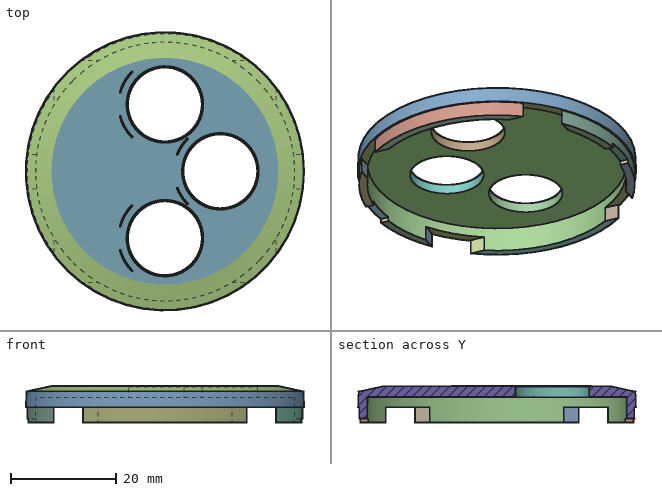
import cadquery as cq
import math

OUTER_RADIUS = 26.5
TOTAL_HEIGHT = 7.0
SKIRT_HEIGHT = 2.9

SKIRT_RADIUS = 26.25
RIM_TOP_RADIUS = 26.4
RIM_TOP_Z = 5.95
FACE_RADIUS = 21.55

FACE_THICKNESS = 2.1
SKIRT_WALL = 1.6
CAVITY_RADIUS = SKIRT_RADIUS - SKIRT_WALL
SKIRT_OPENING_WIDTH = 42.2

NOTCH_WIDTH = 6.55
NOTCH_HEIGHT = 0.8

HOLE_RADIUS = 7.0
HOLE_MOUTH_RADIUS = 7.3
HOLE_CHAMFER_DEPTH = 0.15
SIDE_HOLE_Y = 12.7
MIDDLE_HOLE_X = 10.55

MARK_RADIUS = 8.8
MARK_WIDTH = 0.2
MARK_DEPTH = 0.1
MARK_OUTER_ANGLE = 45.0
SIDE_MARK_INNER_ANGLE = 14.5
MIDDLE_MARK_INNER_ANGLE = 21.0

HOLES = [
    (0, SIDE_HOLE_Y, SIDE_MARK_INNER_ANGLE),
    (MIDDLE_HOLE_X, 0, MIDDLE_MARK_INNER_ANGLE),
    (0, -SIDE_HOLE_Y, SIDE_MARK_INNER_ANGLE),
]


def outer_body():
    """Solid of revolution with the full outside shape."""
    profile = [
        (0, 0),
        (SKIRT_RADIUS, 0),
        (SKIRT_RADIUS, SKIRT_HEIGHT),
        (OUTER_RADIUS, SKIRT_HEIGHT),
        (RIM_TOP_RADIUS, RIM_TOP_Z),
        (FACE_RADIUS, TOTAL_HEIGHT),
        (0, TOTAL_HEIGHT),
    ]
    return cq.Workplane("XZ").polyline(profile).close().revolve(360, (0, 0), (0, 1))


def underside_cavity():
    """Round pocket, plus a square whose corners open the four gaps in the skirt."""
    pocket = cq.Workplane("XY").circle(CAVITY_RADIUS).extrude(TOTAL_HEIGHT - FACE_THICKNESS)
    square = cq.Workplane("XY").rect(SKIRT_OPENING_WIDTH, SKIRT_OPENING_WIDTH).extrude(SKIRT_HEIGHT)
    return pocket.union(square)


def foot_notches():
    """Bar along X that notches the two opposite skirt segments."""
    return cq.Workplane("XY").rect(2 * OUTER_RADIUS, NOTCH_WIDTH).extrude(NOTCH_HEIGHT)


def socket_hole(x, y):
    """Through hole with a chamfered mouth in the top face."""
    profile = [
        (0, 0),
        (HOLE_RADIUS, 0),
        (HOLE_RADIUS, TOTAL_HEIGHT - HOLE_CHAMFER_DEPTH),
        (HOLE_MOUTH_RADIUS, TOTAL_HEIGHT),
        (0, TOTAL_HEIGHT),
    ]
    hole = cq.Workplane("XZ").polyline(profile).close().revolve(360, (0, 0), (0, 1))
    return hole.translate((x, y, 0))


def arc_mark(x, y, start_angle, end_angle):
    """Thin engraved arc centred on (x, y); angles in degrees from +X."""

    def point(radius, angle):
        turn = math.radians(angle)
        return (x + radius * math.cos(turn), y + radius * math.sin(turn))

    middle_angle = (start_angle + end_angle) / 2
    inner = MARK_RADIUS - MARK_WIDTH / 2
    outer = MARK_RADIUS + MARK_WIDTH / 2
    return (
        cq.Workplane("XY", origin=(0, 0, TOTAL_HEIGHT - MARK_DEPTH))
        .moveTo(*point(inner, start_angle))
        .threePointArc(point(inner, middle_angle), point(inner, end_angle))
        .lineTo(*point(outer, end_angle))
        .threePointArc(point(outer, middle_angle), point(outer, start_angle))
        .close()
        .extrude(MARK_DEPTH)
    )


result = outer_body().cut(underside_cavity()).cut(foot_notches())

for hole_x, hole_y, mark_inner_angle in HOLES:
    result = result.cut(socket_hole(hole_x, hole_y))
    for side in (-1, 1):
        mark_start = 180 + side * mark_inner_angle
        mark_end = 180 + side * MARK_OUTER_ANGLE
        result = result.cut(arc_mark(hole_x, hole_y, mark_start, mark_end))